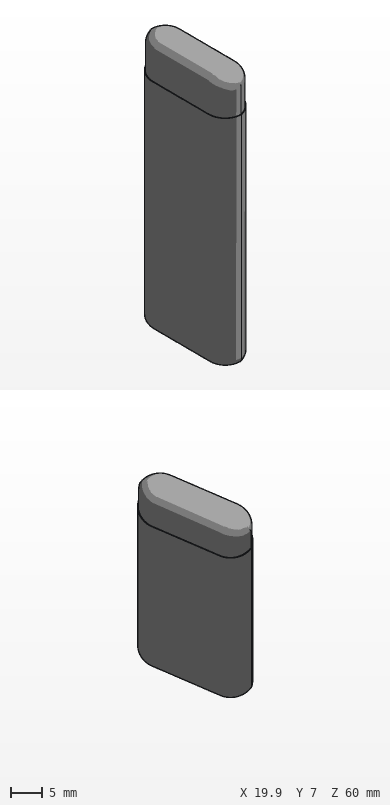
import cadquery as cq

TOTAL_HEIGHT = 60.0
BODY_HEIGHT = 52.0
BODY_DEPTH = 7.0
BODY_FLAT_WIDTH = 12.0
BODY_RIM_RADIUS = 1.5

CAP_INSET = 0.1
CAP_HEIGHT = TOTAL_HEIGHT - BODY_HEIGHT
CAP_DEPTH = BODY_DEPTH - 2 * CAP_INSET
CAP_FLAT_WIDTH = BODY_FLAT_WIDTH - 2 * CAP_INSET
CAP_RIM_RADIUS = 2.5

SIDE_RADIUS = 4.0


def round_ended_bar(flat_width, height, center_y, rim, rim_radius):
    """Upright bar with half-round ends of SIDE_RADIUS and one rounded rim."""
    return (
        cq.Workplane("XY")
        .center(0, center_y)
        .slot2D(flat_width + 2 * SIDE_RADIUS, 2 * SIDE_RADIUS)
        .extrude(height)
        .faces(rim)
        .edges()
        .fillet(rim_radius)
    )


def ridged_bar(flat_width, depth, height, rim, rim_radius):
    """Overlap of two round-ended bars, shifted in Y so that it has the given depth."""
    shift = SIDE_RADIUS - depth / 2
    front_bar = round_ended_bar(flat_width, height, shift, rim, rim_radius)
    back_bar = round_ended_bar(flat_width, height, -shift, rim, rim_radius)
    return front_bar.intersect(back_bar).solids()


body = ridged_bar(BODY_FLAT_WIDTH, BODY_DEPTH, BODY_HEIGHT, "<Z", BODY_RIM_RADIUS)

cap = ridged_bar(CAP_FLAT_WIDTH, CAP_DEPTH, CAP_HEIGHT, ">Z", CAP_RIM_RADIUS)
cap = cap.translate((0, 0, BODY_HEIGHT))

result = cq.Compound.makeCompound([body.val(), cap.val()])